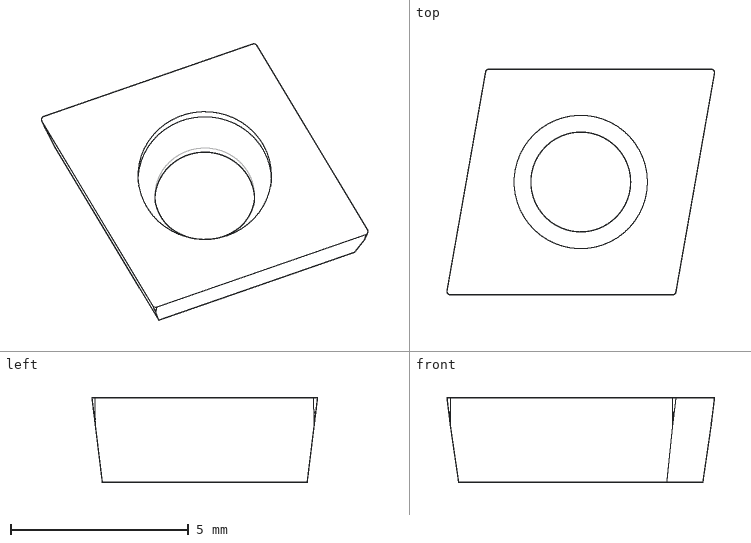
import cadquery as cq
import math

inscribed_diameter = 6.35
thickness = 2.38
corner_angle = math.radians(80)
relief_angle = math.radians(7)
nose_radius = 0.1

bore_diameter = 2.8
mouth_diameter = 3.75
mouth_depth = 0.5
seat_radius = 2.5

inscribed_radius = inscribed_diameter / 2
base_inscribed_radius = inscribed_radius - thickness * math.tan(relief_angle)
nose_depth = nose_radius / math.tan(relief_angle)
nose_tip_height = thickness - nose_depth


def rhombus(radius):
    """Corners of the rhombus around an inscribed circle, counterclockwise from the lower left."""
    half_side = radius / math.sin(corner_angle)
    lean = radius / math.tan(corner_angle)
    return [
        (-half_side - lean, -radius),
        (half_side - lean, -radius),
        (half_side + lean, radius),
        (-half_side + lean, radius),
    ]


def make_body():
    """Sharp-cornered block, full size on top and narrower at the base."""
    return (
        cq.Workplane("XY")
        .polyline(rhombus(base_inscribed_radius)).close()
        .workplane(offset=thickness)
        .polyline(rhombus(inscribed_radius)).close()
        .loft(ruled=True)
    )


def foot_on_edge(point, start, end):
    """Foot of the perpendicular dropped from a point onto the line from start to end."""
    origin = cq.Vector(*start)
    direction = (cq.Vector(*end) - origin).normalized()
    foot = origin + direction * (cq.Vector(*point) - origin).dot(direction)
    return (foot.x, foot.y)


def round_corner(body, corner_index):
    """Replace a sharp upper corner with a conical nose that runs out to a point below."""
    corners = rhombus(inscribed_radius)
    corner = corners[corner_index]
    previous_corner = corners[corner_index - 1]
    next_corner = corners[(corner_index + 1) % len(corners)]
    nose_center = rhombus(inscribed_radius - nose_radius)[corner_index]
    corner_outline = [
        nose_center,
        foot_on_edge(nose_center, previous_corner, corner),
        corner,
        foot_on_edge(nose_center, corner, next_corner),
    ]
    corner_block = (
        cq.Workplane("XY", origin=(0, 0, nose_tip_height))
        .polyline(corner_outline).close()
        .extrude(nose_depth)
    )
    nose_tip = cq.Vector(*nose_center, nose_tip_height)
    cone = cq.Workplane(cq.Solid.makeCone(0, nose_radius, nose_depth, nose_tip))
    return body.cut(corner_block).union(cone.intersect(corner_block))


def make_screw_hole():
    """Solid of revolution that fills the screw hole."""
    bore_radius = bore_diameter / 2
    mouth_radius = mouth_diameter / 2
    mouth_floor = thickness - mouth_depth
    seat_width = mouth_radius - bore_radius
    seat_depth = math.sqrt(seat_radius**2 - (seat_radius - seat_width) ** 2)
    return (
        cq.Workplane("XZ")
        .lineTo(bore_radius, 0)
        .lineTo(bore_radius, mouth_floor - seat_depth)
        .radiusArc((mouth_radius, mouth_floor), seat_radius)
        .lineTo(mouth_radius, thickness)
        .lineTo(0, thickness)
        .close()
        .revolve(360, (0, 0, 0), (0, 1, 0))
    )


insert = make_body()
for index in range(4):
    insert = round_corner(insert, index)

result = insert.cut(make_screw_hole())